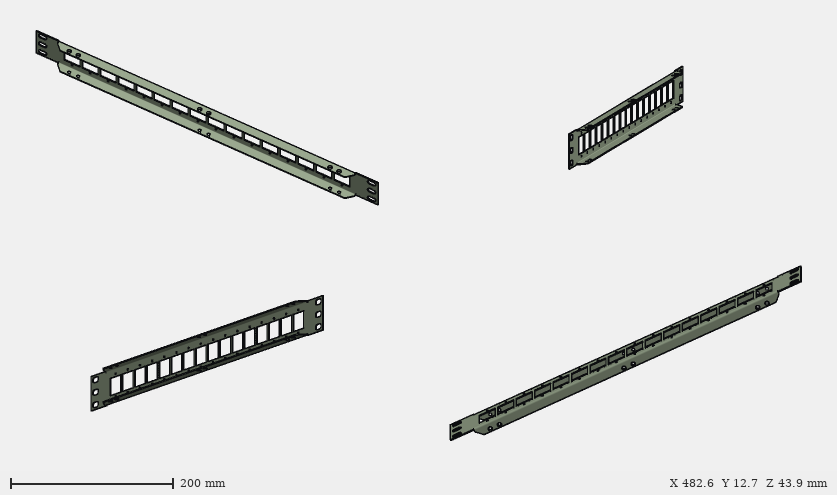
import cadquery as cq
import math

PANEL_LENGTH = 482.6
PANEL_HEIGHT = 43.94
PANEL_DEPTH = 12.7
SHEET = 1.52
CUT_MARGIN = 1.0

BEND_INNER_RADIUS = 0.8
BEND_OUTER_RADIUS = BEND_INNER_RADIUS + SHEET
FLANGE_LENGTH = 419.0
FLANGE_TIP_LENGTH = 402.0
FLANGE_TAPER_DEPTH = 8.5

WINDOW_COUNT = 16
WINDOW_PITCH = 25.4
WINDOW_SIZE = 22.1
PIN_HOLE_DIAMETER = 2.2
PIN_ROW_SPACING = 29.1

SLOT_COLUMN_SPACING = 464.4
SLOT_PITCH = 15.875
SLOT_ROWS = (-1, 0, 1)
SLOT_LENGTH = 11.8
SLOT_HEIGHT = 6.8

SCREW_PAIR_PITCH = 184.15
SCREW_PAIR_CENTERS = (-SCREW_PAIR_PITCH, 0, SCREW_PAIR_PITCH)
SCREW_PAIR_SPACING = 12.7
SCREW_EDGE_DISTANCE = 4.0
SCREW_HOLE_DIAMETER = 3.2
COUNTERSINK_DIAMETER = 5.7
COUNTERSINK_ANGLE = 82.0


def make_face_plate():
    """Flat plate, with its edges cut back along the flanges to make room for the bends."""
    plate = cq.Workplane("XY").box(PANEL_LENGTH, SHEET, PANEL_HEIGHT).translate((0, -SHEET / 2, 0))
    relief_z = (PANEL_HEIGHT - BEND_OUTER_RADIUS) / 2
    for side in (-1, 1):
        relief = cq.Workplane("XY").box(FLANGE_LENGTH, 2 * SHEET, BEND_OUTER_RADIUS)
        plate = plate.cut(relief.translate((0, -SHEET / 2, side * relief_z)))
    return plate


def make_top_flange():
    """Bend and flange of the top edge, with the two free corners tapered."""
    top = PANEL_HEIGHT / 2
    bend_z = top - BEND_OUTER_RADIUS
    profile = (
        cq.Workplane("YZ", origin=(-FLANGE_LENGTH / 2, 0, 0))
        .moveTo(0, bend_z)
        .radiusArc((-BEND_OUTER_RADIUS, top), -BEND_OUTER_RADIUS)
        .lineTo(-PANEL_DEPTH, top)
        .lineTo(-PANEL_DEPTH, top - SHEET)
        .lineTo(-BEND_OUTER_RADIUS, top - SHEET)
        .radiusArc((-SHEET, bend_z), BEND_INNER_RADIUS)
        .close()
    )
    flange = profile.extrude(FLANGE_LENGTH)
    return flange.intersect(make_flange_outline()).cut(make_screw_holes(top))


def make_flange_outline():
    """Tall prism with the plan outline of a flange, tapered at both free corners."""
    taper_start = FLANGE_TAPER_DEPTH - PANEL_DEPTH
    return (
        cq.Workplane("XY")
        .moveTo(-FLANGE_LENGTH / 2, 0)
        .lineTo(-FLANGE_LENGTH / 2, taper_start)
        .lineTo(-FLANGE_TIP_LENGTH / 2, -PANEL_DEPTH)
        .lineTo(FLANGE_TIP_LENGTH / 2, -PANEL_DEPTH)
        .lineTo(FLANGE_LENGTH / 2, taper_start)
        .lineTo(FLANGE_LENGTH / 2, 0)
        .close()
        .extrude(PANEL_HEIGHT)
    )


def make_screw_holes(top):
    """Cutting tools for holes countersunk from the outer side of the top flange."""
    centers = [
        (pair_x + side * SCREW_PAIR_SPACING / 2, SCREW_EDGE_DISTANCE - PANEL_DEPTH)
        for pair_x in SCREW_PAIR_CENTERS
        for side in (-1, 1)
    ]
    through_holes = (
        cq.Workplane("XY", origin=(0, 0, top - SHEET - CUT_MARGIN))
        .pushPoints(centers)
        .circle(SCREW_HOLE_DIAMETER / 2)
        .extrude(SHEET + 2 * CUT_MARGIN)
    )
    outer_radius = COUNTERSINK_DIAMETER / 2
    inner_radius = SCREW_HOLE_DIAMETER / 2
    cone_depth = (outer_radius - inner_radius) / math.tan(math.radians(COUNTERSINK_ANGLE / 2))
    cone = cq.Solid.makeCone(inner_radius, outer_radius, cone_depth)
    countersinks = (
        cq.Workplane("XY", origin=(0, 0, top - cone_depth))
        .pushPoints(centers)
        .eachpoint(cone, combine=False)
    )
    return through_holes.union(countersinks)


def make_face_cutouts():
    """Windows, pin holes and mounting slots as one set of cutting tools through the plate."""
    depth = SHEET + 2 * CUT_MARGIN
    face = cq.Workplane("XZ", origin=(0, CUT_MARGIN, 0))
    first_x = -(WINDOW_COUNT - 1) * WINDOW_PITCH / 2
    column_x = [first_x + i * WINDOW_PITCH for i in range(WINDOW_COUNT)]
    pin_points = [(x, side * PIN_ROW_SPACING / 2) for x in column_x for side in (-1, 1)]
    slot_points = [
        (side * SLOT_COLUMN_SPACING / 2, row * SLOT_PITCH) for side in (-1, 1) for row in SLOT_ROWS
    ]

    windows = face.pushPoints([(x, 0) for x in column_x]).rect(WINDOW_SIZE, WINDOW_SIZE).extrude(depth)
    pins = face.pushPoints(pin_points).circle(PIN_HOLE_DIAMETER / 2).extrude(depth)
    slots = face.pushPoints(slot_points).slot2D(SLOT_LENGTH, SLOT_HEIGHT).extrude(depth)
    return windows.union(pins).union(slots)


top_flange = make_top_flange()
bottom_flange = top_flange.mirror("XY")
result = make_face_plate().union(top_flange).union(bottom_flange).cut(make_face_cutouts())